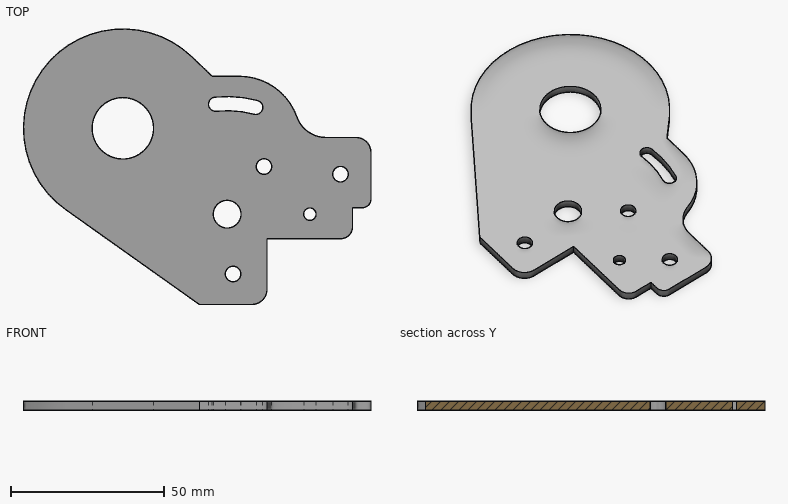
import cadquery as cq
import math

thickness = 3.0
total_length = 113.4
total_width = 89.9

disc_radius = 32.4
right_edge = total_length - disc_radius
bottom_edge = disc_radius - total_width
bottom_corner_x = 25.0
leg_right_x = 47.1
arm_bottom = -36.1
step_x = 75.0
step_y = -26.0
shoulder_start_x = 29.1
shoulder_top = 17.0
lobe_radius = 20.0
lobe_x = 38.0
lobe_y = shoulder_top - lobe_radius
arm_top = lobe_y
valley_radius = 10.0

large_corner = 5.0
medium_corner = 4.0
small_corner = 3.0

bore_diameter = 20.0
pivot_x = 34.0
pivot_y = -28.0
pivot_diameter = 9.0
screw_diameter = 5.0
pin_diameter = 4.0
holes = [
    (0, 0, bore_diameter),
    (pivot_x, pivot_y, pivot_diameter),
    (46.0, -12.5, screw_diameter),
    (71.0, -15.0, screw_diameter),
    (36.0, -47.5, screw_diameter),
    (61.0, pivot_y, pin_diameter),
]

slot_radius = 36.1
slot_width = 4.5
slot_start_angle = 75.0
slot_end_angle = 96.0


def polar(radius, degrees, center=(0, 0)):
    """Point at a radius and angle about a center."""
    angle = math.radians(degrees)
    return (center[0] + radius * math.cos(angle), center[1] + radius * math.sin(angle))


def disc_tangent_point(x, y, side):
    """Where a line from (x, y) touches the disc; side +1 is counterclockwise, -1 clockwise."""
    direction = math.degrees(math.atan2(y, x))
    spread = math.degrees(math.acos(disc_radius / math.hypot(x, y)))
    return polar(disc_radius, direction + side * spread)


def make_plate():
    lower_tangent = disc_tangent_point(bottom_corner_x, bottom_edge, -1)
    upper_tangent = disc_tangent_point(shoulder_start_x, shoulder_top, 1)

    center_distance = lobe_radius + valley_radius
    valley_x = lobe_x + math.sqrt(center_distance**2 - valley_radius**2)
    valley_y = arm_top + valley_radius
    join_angle = math.degrees(math.asin(valley_radius / center_distance))
    lobe_center = (lobe_x, lobe_y)
    valley_center = (valley_x, valley_y)
    valley_mid_angle = (180 + join_angle + 270) / 2

    plate = (
        cq.Workplane("XY")
        .moveTo(*lower_tangent)
        .lineTo(bottom_corner_x, bottom_edge)
        .lineTo(leg_right_x, bottom_edge)
        .lineTo(leg_right_x, arm_bottom)
        .lineTo(step_x, arm_bottom)
        .lineTo(step_x, step_y)
        .lineTo(right_edge, step_y)
        .lineTo(right_edge, arm_top)
        .lineTo(valley_x, arm_top)
        .threePointArc(
            polar(valley_radius, valley_mid_angle, valley_center),
            polar(lobe_radius, join_angle, lobe_center),
        )
        .threePointArc(
            polar(lobe_radius, (join_angle + 90) / 2, lobe_center),
            (lobe_x, shoulder_top),
        )
        .lineTo(shoulder_start_x, shoulder_top)
        .lineTo(*upper_tangent)
        .threePointArc((-disc_radius, 0), lower_tangent)
        .close()
        .extrude(thickness)
    )
    rounded_corners = [
        (leg_right_x, bottom_edge, large_corner),
        (right_edge, arm_top, large_corner),
        (step_x, arm_bottom, medium_corner),
        (right_edge, step_y, small_corner),
    ]
    for x, y, radius in rounded_corners:
        corner = cq.selectors.NearestToPointSelector((x, y, thickness / 2))
        plate = plate.edges("|Z").edges(corner).fillet(radius)
    return plate


def make_hole(x, y, diameter):
    return cq.Workplane("XY").center(x, y).circle(diameter / 2).extrude(thickness)


def make_curved_slot():
    pivot = (pivot_x, pivot_y)
    end_radius = slot_width / 2
    inner_radius = slot_radius - end_radius
    outer_radius = slot_radius + end_radius
    middle_angle = (slot_start_angle + slot_end_angle) / 2
    start_center = polar(slot_radius, slot_start_angle, pivot)
    end_center = polar(slot_radius, slot_end_angle, pivot)
    return (
        cq.Workplane("XY")
        .moveTo(*polar(outer_radius, slot_start_angle, pivot))
        .threePointArc(
            polar(outer_radius, middle_angle, pivot),
            polar(outer_radius, slot_end_angle, pivot),
        )
        .threePointArc(
            polar(end_radius, slot_end_angle + 90, end_center),
            polar(inner_radius, slot_end_angle, pivot),
        )
        .threePointArc(
            polar(inner_radius, middle_angle, pivot),
            polar(inner_radius, slot_start_angle, pivot),
        )
        .threePointArc(
            polar(end_radius, slot_start_angle - 90, start_center),
            polar(outer_radius, slot_start_angle, pivot),
        )
        .close()
        .extrude(thickness)
    )


result = make_plate()
for hole_x, hole_y, hole_diameter in holes:
    result = result.cut(make_hole(hole_x, hole_y, hole_diameter))
result = result.cut(make_curved_slot())